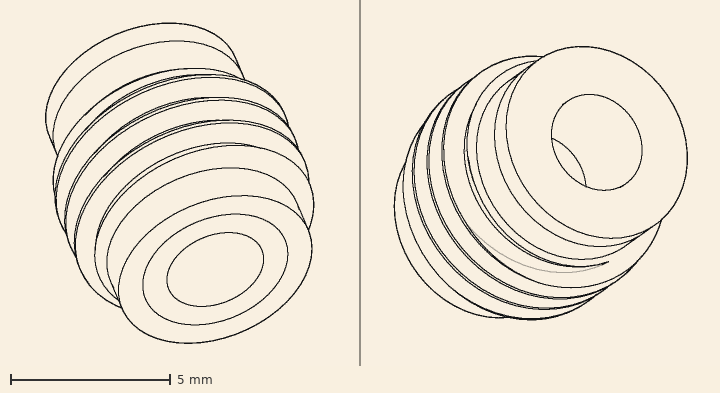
import cadquery as cq
import math

length = 7.94
neck_radius = 3.175
flange_thickness = 0.825
bore_radius = 1.59
bore_depth = length / 2
stem_radius = 2.38

collar_start = 2.105
collar_end = 6.66
crest_diameter = 7.82
crest_radius = crest_diameter / 2
root_radius = 3.35
envelope_clearance = 0.24

pitch = 1.05
crest_flat = pitch / 8
flank_slope = math.tan(math.radians(30))
ridge_embed = 0.06
ridge_start = 0.65
ridge_turns = 6


def cylinder(radius, start, end):
    return cq.Workplane("YZ").workplane(offset=start).circle(radius).extrude(end - start)


def make_ridge():
    """Helical thread ridge, swept around Z and then turned onto the X axis."""
    base_radius = root_radius - ridge_embed
    half_crest = crest_flat / 2
    half_base = half_crest + flank_slope * (crest_radius - base_radius)
    helix = cq.Wire.makeHelix(pitch, ridge_turns * pitch, base_radius)
    ridge = (
        cq.Workplane("XZ")
        .polyline([
            (base_radius, -half_base),
            (crest_radius, -half_crest),
            (crest_radius, half_crest),
            (base_radius, half_base),
        ])
        .close()
        .sweep(cq.Workplane(obj=helix), isFrenet=True)
    )
    return ridge.rotate((0, 0, 0), (0, 1, 0), 90).translate((ridge_start, 0, 0))


def make_collar_envelope():
    """Double cone, standing clear of the crest, that trims the thread's ends at 45 degrees."""
    rise = crest_radius + envelope_clearance - neck_radius
    return (
        cq.Workplane("XY")
        .moveTo(collar_start, 0)
        .lineTo(collar_start, neck_radius)
        .lineTo(collar_start + rise, neck_radius + rise)
        .lineTo(collar_end - rise, neck_radius + rise)
        .lineTo(collar_end, neck_radius)
        .lineTo(collar_end, 0)
        .close()
        .revolve(360, (0, 0, 0), (1, 0, 0))
    )


def make_threaded_body():
    """Cylinder with a chamfered, threaded collar and a through hole for the liner."""
    core = cylinder(root_radius, 0, length)
    collar = core.union(make_ridge()).intersect(make_collar_envelope())
    body = cylinder(neck_radius, flange_thickness, length).union(collar)
    return body.cut(cylinder(stem_radius, flange_thickness, length))


def make_liner():
    """Flange against the body's -X end, with a bored stem inside the body."""
    flange = cylinder(neck_radius, 0, flange_thickness)
    stem = cylinder(stem_radius, flange_thickness, length)
    return flange.union(stem).cut(cylinder(bore_radius, 0, length))


def make_plug():
    """Solid plug that closes the liner's bore."""
    return cylinder(bore_radius, bore_depth, length)


threaded_body = make_threaded_body()
liner = make_liner()
plug = make_plug()

result = cq.Compound.makeCompound([*threaded_body.solids().vals(), liner.val(), plug.val()])